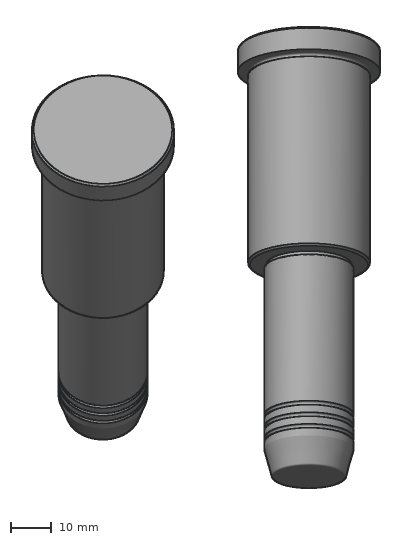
import cadquery as cq
import math

head_diameter = 35.0
head_height = 6.0
head_chamfer = 0.5

body_diameter = 30.0
body_length = 50.0
body_chamfer = 0.5

shank_diameter = 22.0
shank_length = 55.0

undercut_width = 1.0
undercut_depth = 0.5

groove_radius = 0.5
tip_groove_count = 3
tip_groove_pitch = 3.0
lowest_tip_groove_height = 9.5

tip_height = 7.0
tip_half_angle = math.radians(15.0)
tip_fillet = 0.5

head_radius = head_diameter / 2
body_radius = body_diameter / 2
shank_radius = shank_diameter / 2
tip_radius = shank_radius - tip_height * math.tan(tip_half_angle)
body_bottom = shank_length
head_bottom = body_bottom + body_length
top = head_bottom + head_height


def revolve_about_z(profile):
    """Turn a closed half-profile in the XZ plane into a solid of revolution."""
    return profile.revolve(360, (0, 0, 0), (0, 1, 0))


def stepped_pin():
    """Head, body, shank and conical tip, with the square undercut below the body."""
    undercut_radius = shank_radius - undercut_depth
    undercut_bottom = body_bottom - undercut_width
    profile = (
        cq.Workplane("XZ")
        .moveTo(0, 0)
        .lineTo(tip_radius, 0)
        .lineTo(shank_radius, tip_height)
        .lineTo(shank_radius, undercut_bottom)
        .lineTo(undercut_radius, undercut_bottom)
        .lineTo(undercut_radius, body_bottom)
        .lineTo(body_radius - body_chamfer, body_bottom)
        .lineTo(body_radius, body_bottom + body_chamfer)
        .lineTo(body_radius, head_bottom)
        .lineTo(head_radius, head_bottom)
        .lineTo(head_radius, top - head_chamfer)
        .lineTo(head_radius - head_chamfer, top)
        .lineTo(0, top)
        .close()
    )
    return revolve_about_z(profile).faces("<Z").edges().fillet(tip_fillet)


def half_round_groove(cylinder_radius, middle_height):
    """Ring-shaped cutter with a half-round floor, sunk into a cylinder of the given radius."""
    profile = (
        cq.Workplane("XZ")
        .moveTo(cylinder_radius, middle_height - groove_radius)
        .threePointArc(
            (cylinder_radius - groove_radius, middle_height),
            (cylinder_radius, middle_height + groove_radius),
        )
        .close()
    )
    return revolve_about_z(profile)


result = stepped_pin()
result = result.cut(half_round_groove(body_radius, head_bottom - groove_radius))

for index in range(tip_groove_count):
    groove_middle = lowest_tip_groove_height + index * tip_groove_pitch
    result = result.cut(half_round_groove(shank_radius, groove_middle))